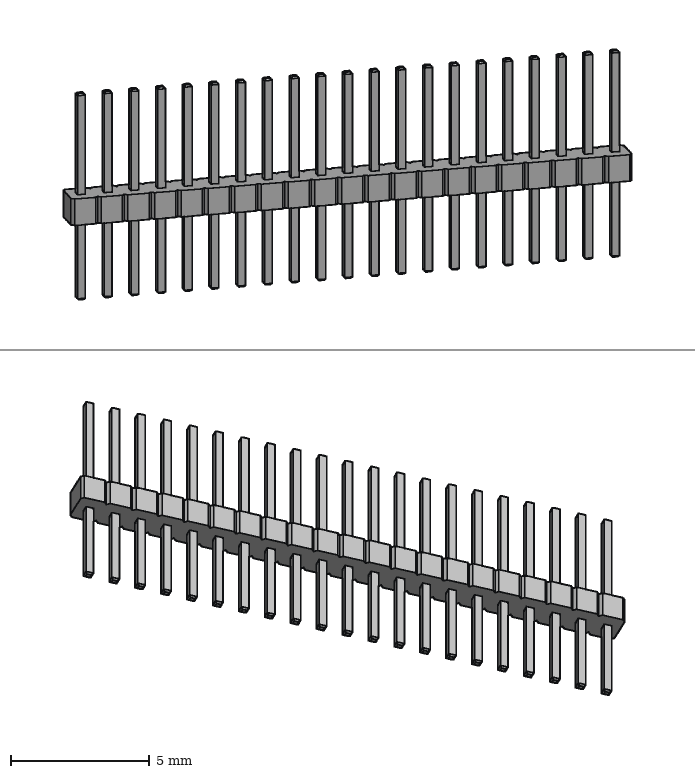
import cadquery as cq

pin_count = 21

strip_length = 21.0
strip_width = 1.25
pitch = strip_length / pin_count
strip_height = pitch
corner_chamfer = 0.1

pin_side = 0.3
pin_length = 7.8
pin_above = 3.8
pin_below = pin_length - strip_height - pin_above
pin_tip_chamfer = 0.06

row_positions = [(0, (i - (pin_count - 1) / 2) * pitch, 0) for i in range(pin_count)]


def make_block():
    """One strip segment with its four vertical corners chamfered."""
    return (
        cq.Workplane("XY")
        .box(strip_width, pitch, strip_height, centered=(True, True, False))
        .edges("|Z")
        .chamfer(corner_chamfer)
    )


def make_pin():
    """Square pin with a chamfered tip at both ends, passing through the strip."""
    return (
        cq.Workplane("XY")
        .workplane(offset=-pin_below)
        .box(pin_side, pin_side, pin_length, centered=(True, True, False))
        .faces("<Z or >Z")
        .edges()
        .chamfer(pin_tip_chamfer)
    )


segment = make_block().union(make_pin())
result = cq.Workplane("XY")
for position in row_positions:
    result = result.union(segment.translate(position))